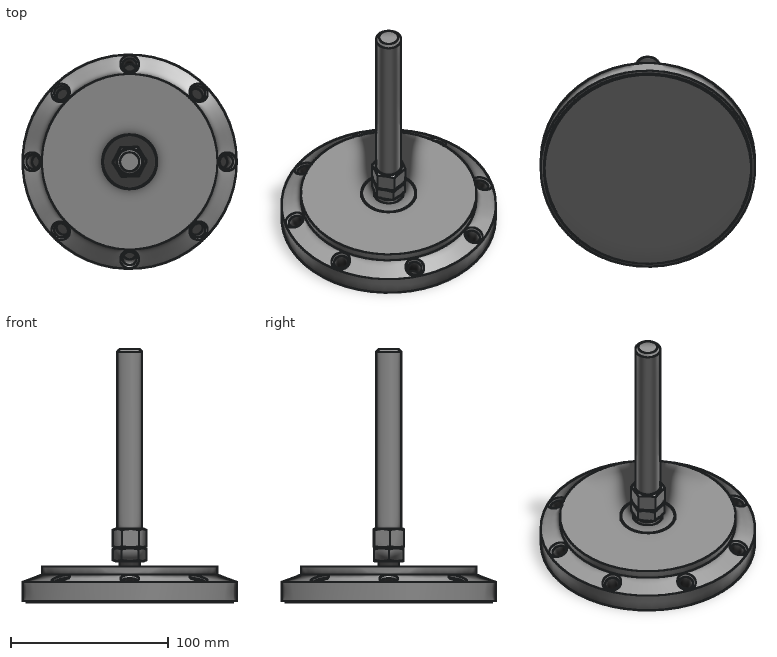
import cadquery as cq
import math

total_height = 161.0
base_bottom = 1.0
pad_top = 2.9
cone_bottom = 13.0
cone_top = 17.7
base_top = 23.0
lower_hex_bottom = 26.1
nut_bottom = 34.8
nut_top = 47.0

base_diameter = 136.0
base_top_diameter = 111.5
pad_diameter = 131.0
pad_recess_diameter = 132.0

bush_diameter = 33.8
bush_recess_diameter = 35.0
bush_height = 8.0
bush_bore = 18.7
bush_bottom = base_top - bush_height

neck_diameter = 13.0
foot_cone_height = 2.0
stud_diameter = 16.0
stud_chamfer = 2.0
hex_flats = 18.7
hex_corner_diameter = hex_flats / math.cos(math.radians(30))
hex_face_diameter = 16.9
hex_chamfer_height = 1.0
lower_hex_angle = 1.0
nut_angle = 4.0

hole_count = 8
hole_diameter = 9.0
hole_mouth = 12.0
flank_run = (base_diameter - base_top_diameter) / 2
flank_drop = cone_top - cone_bottom
flank_angle = math.degrees(math.atan2(flank_drop, flank_run))
hole_circle_radius = (base_diameter + base_top_diameter) / 4
hole_mouth_height = (cone_top + cone_bottom) / 2
hole_overrun = 1.6
diagonal_hole_tilt = 13.0


def cylinder(diameter, bottom, top):
    return cq.Workplane("XY").workplane(offset=bottom).circle(diameter / 2).extrude(top - bottom)


def revolve_profile(points):
    """Turn a closed (radius, height) outline about the Z axis."""
    return cq.Workplane("XZ").polyline(points).close().revolve(360, (0, 0), (0, 1))


def chamfered_hex(bottom, top, angle):
    """Hexagonal prism with its corners turned down at both ends; angle 0 puts two flats square to Y."""
    prism = (
        cq.Workplane("XY")
        .workplane(offset=bottom)
        .polygon(6, hex_corner_diameter)
        .extrude(top - bottom)
        .rotate((0, 0, 0), (0, 0, 1), angle)
    )
    face_radius = hex_face_diameter / 2
    corner_radius = hex_corner_diameter / 2
    turned_envelope = revolve_profile([
        (0, bottom),
        (face_radius, bottom),
        (corner_radius, bottom + hex_chamfer_height),
        (corner_radius, top - hex_chamfer_height),
        (face_radius, top),
        (0, top),
    ])
    return prism.intersect(turned_envelope)


def place_on_flank(cutter, tilt, angle):
    """Lean a cutter outward, set its origin on the flank and turn it about Z to its place."""
    return (
        cutter.rotate((0, 0, 0), (0, 1, 0), tilt)
        .translate((hole_circle_radius, 0, hole_mouth_height))
        .rotate((0, 0, 0), (0, 0, 1), angle)
    )


def countersunk_hole_cutter(angle, tilt):
    """Bore leaning by the tilt down to the pad, with a countersink square to the flank."""
    bore_radius = hole_diameter / 2
    mouth_radius = hole_mouth / 2
    countersink_depth = mouth_radius - bore_radius
    countersink = revolve_profile([
        (0, -countersink_depth),
        (bore_radius, -countersink_depth),
        (mouth_radius, 0),
        (mouth_radius, hole_overrun),
        (0, hole_overrun),
    ])
    bore = cylinder(hole_diameter, -base_top, 0)
    bore = place_on_flank(bore, tilt, angle).intersect(cylinder(base_diameter, pad_top, base_top))
    return bore.union(place_on_flank(countersink, flank_angle, angle))


def make_base():
    base = revolve_profile([
        (0, base_bottom),
        (base_diameter / 2, base_bottom),
        (base_diameter / 2, cone_bottom),
        (base_top_diameter / 2, cone_top),
        (base_top_diameter / 2, base_top),
        (0, base_top),
    ])
    base = base.cut(cylinder(pad_recess_diameter, base_bottom, pad_top))
    base = base.cut(cylinder(bush_recess_diameter, bush_bottom, base_top))
    for index in range(hole_count):
        tilt = flank_angle if index % 2 == 0 else diagonal_hole_tilt
        base = base.cut(countersunk_hole_cutter(index * 360 / hole_count, tilt))
    return base


def make_pad():
    return cylinder(pad_diameter, 0, pad_top)


def make_bush():
    return cylinder(bush_diameter, bush_bottom, base_top).cut(cylinder(bush_bore, bush_bottom, base_top))


def make_stud():
    """Foot filling the bush bore, conical shoulder, neck, integral hexagon and long shank."""
    shoulder = base_top - foot_cone_height
    lower_part = revolve_profile([
        (0, bush_bottom),
        (bush_bore / 2, bush_bottom),
        (bush_bore / 2, shoulder),
        (neck_diameter / 2, base_top),
        (neck_diameter / 2, lower_hex_bottom),
        (0, lower_hex_bottom),
    ])
    lower_hex = chamfered_hex(lower_hex_bottom, nut_bottom, lower_hex_angle)
    shank = cylinder(stud_diameter, nut_bottom, total_height).faces(">Z").chamfer(stud_chamfer)
    return lower_part.union(lower_hex).union(shank)


def make_nut():
    nut = chamfered_hex(nut_bottom, nut_top, nut_angle)
    return nut.cut(cylinder(stud_diameter, nut_bottom, nut_top))


base = make_base()
pad = make_pad()
bush = make_bush()
stud = make_stud()
nut = make_nut()

result = cq.Compound.makeCompound([base.val(), pad.val(), bush.val(), stud.val(), nut.val()])